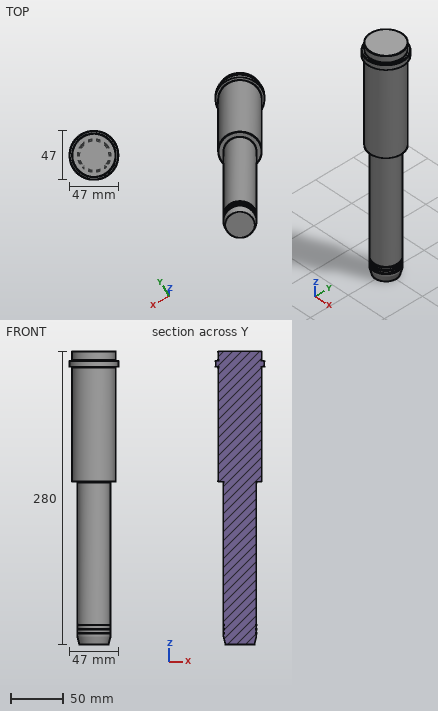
import cadquery as cq

total_height = 280.0
collar_diameter = 47.0
body_diameter = 42.0
pin_diameter = 32.0

head_height = 9.0
collar_thickness = 6.2
body_bottom = 155.0
collar_top = total_height - head_height
collar_bottom = collar_top - collar_thickness

edge_chamfer = 0.5
relief_width = 0.8
relief_depth = 0.3

tip_diameter = 28.0
tip_height = 7.5

groove_count = 3
groove_width = 0.8
groove_depth = 0.8
groove_pitch = 4.0
lowest_groove_bottom = 10.5


def cylinder(diameter, bottom, top):
    """Solid cylinder on the Z axis between two heights."""
    return cq.Workplane("XY").workplane(offset=bottom).circle(diameter / 2).extrude(top - bottom)


def ring(outer_diameter, depth, bottom, width):
    """Ring to cut from a cylinder, leaving a square groove of the given depth."""
    outer = cylinder(outer_diameter, bottom, bottom + width)
    return outer.cut(cylinder(outer_diameter - 2 * depth, bottom, bottom + width))


def tapered_tip():
    """Conical lower end of the pin."""
    return (
        cq.Workplane("XZ")
        .lineTo(tip_diameter / 2, 0)
        .lineTo(pin_diameter / 2, tip_height)
        .lineTo(0, tip_height)
        .close()
        .revolve(360, (0, 0, 0), (0, 1, 0))
    )


pin = tapered_tip().union(cylinder(pin_diameter, tip_height, body_bottom))
for index in range(groove_count):
    groove_bottom = lowest_groove_bottom + index * groove_pitch
    pin = pin.cut(ring(pin_diameter, groove_depth, groove_bottom, groove_width))
pin = pin.cut(ring(pin_diameter, relief_depth, body_bottom - relief_width, relief_width))

body = cylinder(body_diameter, body_bottom, total_height).edges("%CIRCLE").chamfer(edge_chamfer)
for relief_bottom in (collar_bottom - relief_width, collar_top):
    body = body.cut(ring(body_diameter, relief_depth, relief_bottom, relief_width))

collar = cylinder(collar_diameter, collar_bottom, collar_top).faces(">Z").edges().chamfer(edge_chamfer)

result = pin.union(body).union(collar)